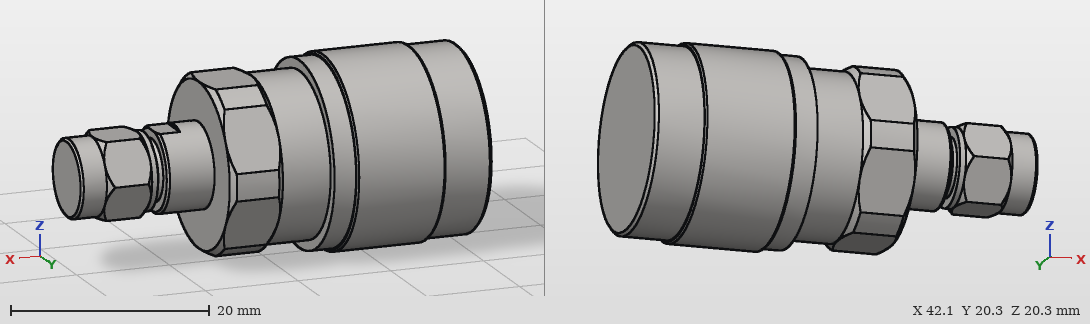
import cadquery as cq
import math

TOTAL_LENGTH = 42.15

END_BAND_RADIUS = 9.82
END_BAND_CHAMFER = 0.35
GRIP_RADIUS = 10.15
GRIP_START = 5.15
GRIP_END = 14.75
GRIP_CHAMFER = 0.2
SLEEVE_END = 17.07
BODY_RADIUS = 8.73

LARGE_HEX_START = 22.2
LARGE_HEX_END = 27.95
LARGE_HEX_CORNER_RADIUS = 9.35
LARGE_HEX_LEFT_CHAMFER = 0.65
LARGE_HEX_RIGHT_CHAMFER = 0.55

SHANK_RADIUS = 4.5
SHANK_END = 33.0
SHANK_CHAMFER = 0.25
FLAT_START = 30.6
FLAT_HEIGHT = 4.17
NECK_RADIUS = 3.1
NECK_TAPER_RADIUS = 3.3
NECK_TAPER_END = 33.48

NUT_START = 33.9
NUT_RADIUS = 4.15
NUT_CHAMFER = 0.25
SMALL_HEX_START = 34.55
SMALL_HEX_END = 39.4
SMALL_HEX_CHAMFER = 0.65


def turned(start, end, radius, left_chamfer=0.0, right_chamfer=0.0, drop=None):
    """Cylinder along X; drop is the radial size of both chamfers, by default equal to their lengths."""
    left_drop = left_chamfer if drop is None else drop
    right_drop = right_chamfer if drop is None else drop
    profile = cq.Workplane("XY").moveTo(start, 0).lineTo(start, radius - left_drop)
    if left_chamfer:
        profile = profile.lineTo(start + left_chamfer, radius)
    if right_chamfer:
        profile = profile.lineTo(end - right_chamfer, radius)
    profile = profile.lineTo(end, radius - right_drop).lineTo(end, 0).close()
    return profile.revolve(360, (0, 0, 0), (1, 0, 0))


def hexagon(start, end, apothem, corner_radius, left_chamfer, right_chamfer):
    """Hexagonal prism with flats at +Z and -Z, trimmed by a cylinder with conical ends."""
    across_corners = 2 * apothem / math.cos(math.pi / 6)
    prism = cq.Workplane("YZ", origin=(start, 0, 0)).polygon(6, across_corners).extrude(end - start)
    drop = corner_radius - apothem
    return prism.intersect(turned(start, end, corner_radius, left_chamfer, right_chamfer, drop))


sleeve = turned(0, SLEEVE_END, END_BAND_RADIUS, left_chamfer=END_BAND_CHAMFER)
grip = turned(GRIP_START, GRIP_END, GRIP_RADIUS, GRIP_CHAMFER, GRIP_CHAMFER)
body = turned(0, LARGE_HEX_END, BODY_RADIUS)
large_hex = hexagon(
    LARGE_HEX_START, LARGE_HEX_END, BODY_RADIUS, LARGE_HEX_CORNER_RADIUS,
    LARGE_HEX_LEFT_CHAMFER, LARGE_HEX_RIGHT_CHAMFER,
)

shank = turned(LARGE_HEX_END, SHANK_END, SHANK_RADIUS, right_chamfer=SHANK_CHAMFER)
flat_cutter = cq.Workplane("XY").box(
    SHANK_END - FLAT_START, 2 * SHANK_RADIUS, SHANK_RADIUS, centered=(False, True, False),
).translate((FLAT_START, 0, FLAT_HEIGHT))
shank = shank.cut(flat_cutter)

neck = (
    cq.Workplane("XY")
    .moveTo(SHANK_END, 0)
    .lineTo(SHANK_END, NECK_TAPER_RADIUS)
    .lineTo(NECK_TAPER_END, NECK_RADIUS)
    .lineTo(NUT_START, NECK_RADIUS)
    .lineTo(NUT_START, 0)
    .close()
    .revolve(360, (0, 0, 0), (1, 0, 0))
)
nut = turned(NUT_START, TOTAL_LENGTH, NUT_RADIUS, right_chamfer=NUT_CHAMFER)
small_hex_corner_radius = NUT_RADIUS / math.cos(math.pi / 6)
small_hex = hexagon(
    SMALL_HEX_START, SMALL_HEX_END, NUT_RADIUS, small_hex_corner_radius,
    SMALL_HEX_CHAMFER, SMALL_HEX_CHAMFER,
)

result = sleeve
for section in (grip, body, large_hex, shank, neck, nut, small_hex):
    result = result.union(section)